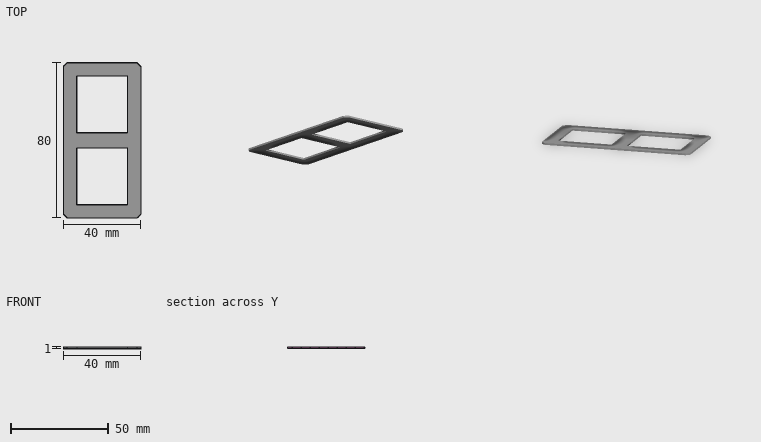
import cadquery as cq

plate_width = 40.0
plate_length = 80.0
plate_thickness = 1.0
corner_chamfer = 2.0

window_width = 26.0
middle_bar = 8.0
border = (plate_width - window_width) / 2
window_length = (plate_length - 2 * border - middle_bar) / 2
window_offset = (middle_bar + window_length) / 2

plate = (
    cq.Workplane("XY")
    .rect(plate_width, plate_length)
    .extrude(plate_thickness)
    .edges("|Z")
    .chamfer(corner_chamfer)
)

windows = (
    cq.Workplane("XY")
    .pushPoints([(0, -window_offset), (0, window_offset)])
    .rect(window_width, window_length)
    .extrude(plate_thickness)
)

result = plate.cut(windows)